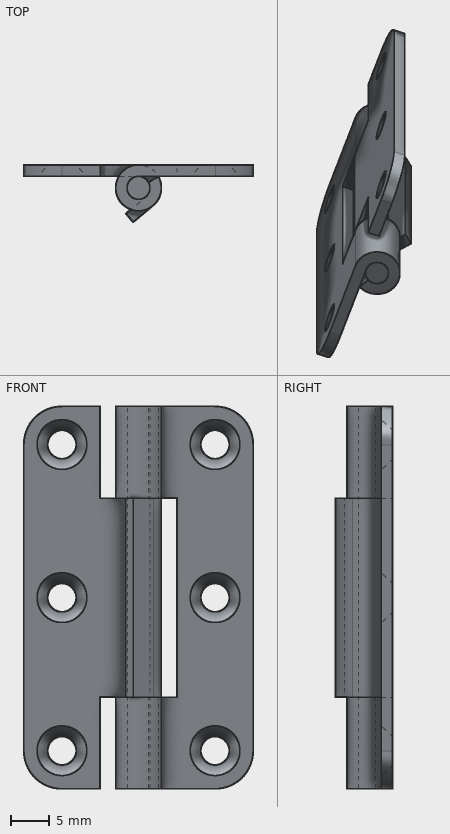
import cadquery as cq
import math


hinge_height = 50.0
hinge_width = 30.0
sheet_thickness = 1.5
pin_diameter = 3.0
corner_radius = 5.0
middle_length = 26.0
notch_reach = 5.0

roll_end_angle = 29.5
hook_release_angle = -50.0
hook_tip_depth = 4.5

hole_diameter = 3.7
countersink_diameter = 6.5
hole_offset = 10.0
hole_pitch = 20.0

half_width = hinge_width / 2
pin_radius = pin_diameter / 2
knuckle_radius = pin_radius + sheet_thickness
rolled_length = (hinge_height - middle_length) / 2
middle_bottom = -middle_length / 2
rolled_bottoms = [-hinge_height / 2, middle_length / 2]


def polar(radius, angle):
    """Point at a radius and an angle in degrees around the pin axis."""
    turn = math.radians(angle)
    return (radius * math.cos(turn), radius * math.sin(turn))


def flat_plate(side):
    """Plate from the notch side to the outer edge; side is -1 for the left leaf, +1 for the right."""
    x_start, x_end = sorted((side * notch_reach, side * half_width))
    plate = (
        cq.Workplane("XY")
        .box(x_end - x_start, sheet_thickness, hinge_height, centered=False)
        .translate((x_start, pin_radius, -hinge_height / 2))
    )
    outer_edges = "<X" if side < 0 else ">X"
    return plate.faces(outer_edges).edges("|Y").fillet(corner_radius)


def countersunk_holes(side):
    """Three cones that open toward the front (-Y) face of a leaf."""
    cones = []
    for step in (-1, 0, 1):
        cone = cq.Solid.makeCone(
            countersink_diameter / 2,
            hole_diameter / 2,
            sheet_thickness,
            pnt=cq.Vector(side * hole_offset, pin_radius, step * hole_pitch),
            dir=cq.Vector(0, 1, 0),
        )
        cones.append(cone)
    return cq.Workplane("XY").newObject([cq.Compound.makeCompound(cones)])


def hook_knuckle():
    """Sheet that passes over the pin, bends down its right side and ends in a straight lip."""
    mid_angle = (90 + hook_release_angle) / 2
    outer_release = polar(knuckle_radius, hook_release_angle)
    inner_release = polar(pin_radius, hook_release_angle)
    lip_x, lip_y = polar(1, hook_release_angle - 90)
    lip_length = (-hook_tip_depth - outer_release[1]) / lip_y
    outer_tip = (outer_release[0] + lip_length * lip_x, -hook_tip_depth)
    inner_tip = (inner_release[0] + lip_length * lip_x, inner_release[1] + lip_length * lip_y)
    return (
        cq.Workplane("XY", origin=(0, 0, middle_bottom))
        .moveTo(-notch_reach, knuckle_radius)
        .lineTo(0, knuckle_radius)
        .threePointArc(polar(knuckle_radius, mid_angle), outer_release)
        .lineTo(*outer_tip)
        .lineTo(*inner_tip)
        .lineTo(*inner_release)
        .threePointArc(polar(pin_radius, mid_angle), (0, pin_radius))
        .lineTo(-notch_reach, pin_radius)
        .close()
        .extrude(middle_length)
    )


def rolled_knuckle(z_bottom):
    """Sheet rolled from the back around the left of the pin until its end nears the leaf again."""
    mid_angle = (90 + roll_end_angle + 360) / 2
    return (
        cq.Workplane("XY", origin=(0, 0, z_bottom))
        .moveTo(notch_reach, knuckle_radius)
        .lineTo(0, knuckle_radius)
        .threePointArc(polar(knuckle_radius, mid_angle), polar(knuckle_radius, roll_end_angle))
        .lineTo(*polar(pin_radius, roll_end_angle))
        .threePointArc(polar(pin_radius, mid_angle), (0, pin_radius))
        .lineTo(notch_reach, pin_radius)
        .close()
        .extrude(rolled_length)
    )


left_leaf = flat_plate(-1).union(hook_knuckle()).cut(countersunk_holes(-1))

right_leaf = flat_plate(1)
for knuckle_bottom in rolled_bottoms:
    right_leaf = right_leaf.union(rolled_knuckle(knuckle_bottom))
right_leaf = right_leaf.cut(countersunk_holes(1))

pin = cq.Workplane("XY", origin=(0, 0, -hinge_height / 2)).circle(pin_radius).extrude(hinge_height)

result = cq.Compound.makeCompound([*left_leaf.solids().vals(), *right_leaf.solids().vals(), pin.val()])